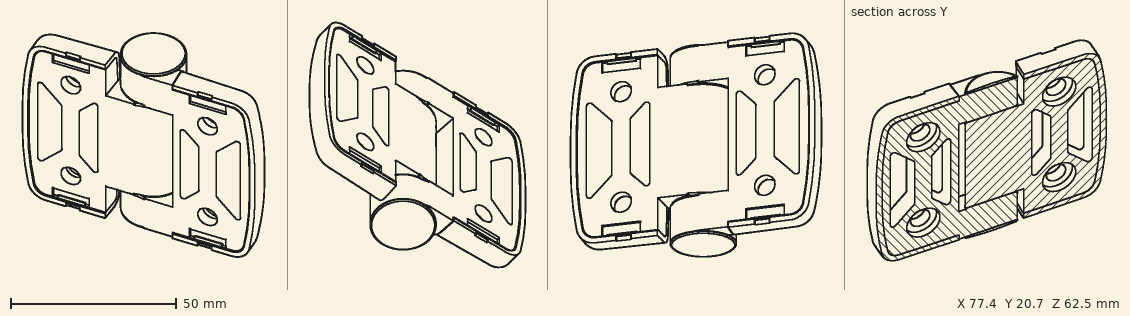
import cadquery as cq
import math


HALF_WIDTH = 38.71
HALF_HEIGHT = 30.4
BARREL_RADIUS = 10.0
COVER_BACK_Y = -10.74
LEAF_BACK_Y = -10.4

SIDE_STRAIGHT_HALF = 4.92
SIDE_RADIUS = 112.5
CORNER_RADIUS = 6.0

CROWN_RADIUS = 290.0
CROWN_Y = -0.3
CROWN_TILT = 1.6
EDGE_ROUND = 3.5
RIM_WIDTH = 1.8
LEAF_INSET = 2.05
COVER_THICKNESS = 1.6
LEAF_EDGE_ROUND = EDGE_ROUND - LEAF_INSET

END_X = 11.15
END_LEAN = 2.8

BARREL_HALF_HEIGHT = 30.1
JOINT_Z = 18.12
WEB_CLEARANCE = 0.12
KNUCKLE_CHAMFER = 0.55
WEB_RISE = 0.5
WEB_INSET = HALF_HEIGHT - BARREL_HALF_HEIGHT
WEB_FLAT_END_X = 1.79

CAP_STRAIGHT = 0.2
CAP_CHAMFER = 0.45
CAP_TOP_Z = 31.23

HOLE_X = 22.78
HOLE_Z = 18.0
HOLE_DIAMETER = 6.45
HOLE_DEPTH = 3.6
HEAD_BORE_DIAMETER = 11.0

POCKET_DEPTH = 6.6
POCKET_CORNER_HALF = 8.85
POCKET_TIP_ROUND = 1.0
POCKET_FLOOR_ROUND = 0.55
OUTER_POCKET_X = (25.7, 33.76)
INNER_POCKET_X = (19.9, 13.7)

CLIP_X = HOLE_X
WINDOW_WIDTH = 12.2
WINDOW_EDGE_Z = 24.9
WINDOW_DEPTH = 1.0
TOOTH_WIDTH = 9.1
TOOTH_REACH = 0.55
TOOTH_SLOPE = 0.3
NOTCH_X = 21.95
NOTCH_WIDTH = 4.7
NOTCH_LENGTH = 1.45
NOTCH_DEPTH = 0.6

ABOVE = 5.0
EDGE_MARGIN = 1.0
LEAF_HALF_HEIGHT = HALF_HEIGHT - LEAF_INSET


def with_mirror_copy(shape):
    """The shape together with its copy mirrored between top and bottom."""
    return shape.add(shape.mirror("XY"))


def back_plane(y):
    """Workplane at height y whose local x is X, local y is Z and whose extrusions run along +Y."""
    return cq.Workplane(cq.Plane(origin=(0, y, 0), xDir=(1, 0, 0), normal=(0, -1, 0)))


def box(x_range, y_range, z_range):
    sizes = [high - low for low, high in (x_range, y_range, z_range)]
    corner = (x_range[0], y_range[0], z_range[0])
    return cq.Workplane().box(*sizes, centered=False).translate(corner)


def outline(inset, y):
    """Side outline from the axis to the outer side, moved inwards by inset."""
    side_x = HALF_WIDTH - inset
    top_z = HALF_HEIGHT - inset
    side_radius = SIDE_RADIUS - inset
    corner_radius = CORNER_RADIUS - inset
    side_centre_x = side_x - side_radius
    corner_z = top_z - corner_radius
    rise = corner_z - SIDE_STRAIGHT_HALF
    corner_x = side_centre_x + math.sqrt((side_radius - corner_radius) ** 2 - rise ** 2)
    join_angle = math.atan2(rise, corner_x - side_centre_x)
    mid_corner_angle = (join_angle + math.pi / 2) / 2

    def side_point(angle):
        return (side_centre_x + side_radius * math.cos(angle),
                SIDE_STRAIGHT_HALF + side_radius * math.sin(angle))

    def corner_point(angle):
        return corner_x + corner_radius * math.cos(angle), corner_z + corner_radius * math.sin(angle)

    def below(point):
        return point[0], -point[1]

    mid_side = side_point(join_angle / 2)
    join = side_point(join_angle)
    mid_corner = corner_point(mid_corner_angle)
    return (
        back_plane(y)
        .moveTo(0, -top_z)
        .lineTo(corner_x, -top_z)
        .threePointArc(below(mid_corner), below(join))
        .threePointArc(below(mid_side), (side_x, -SIDE_STRAIGHT_HALF))
        .lineTo(side_x, SIDE_STRAIGHT_HALF)
        .threePointArc(mid_side, join)
        .threePointArc(mid_corner, (corner_x, top_z))
        .lineTo(0, top_z)
        .close()
    )


def crown(drop):
    """Large solid below the arched and tilted top surface, lowered by drop."""
    reach = 2 * HALF_WIDTH
    sag = CROWN_RADIUS - math.sqrt(CROWN_RADIUS ** 2 - reach ** 2)
    floor_y = 2 * COVER_BACK_Y
    return (
        cq.Workplane("YZ", origin=(-reach, 0, 0))
        .moveTo(floor_y, -reach)
        .lineTo(-sag, -reach)
        .threePointArc((0, 0), (-sag, reach))
        .lineTo(floor_y, reach)
        .close()
        .extrude(2 * reach)
        .rotate((0, 0, 0), (0, 0, 1), -CROWN_TILT)
        .translate((END_X, CROWN_Y - drop, 0))
    )


def end_space():
    """Everything on the barrel side of the leaning end face."""
    height = ABOVE - COVER_BACK_Y
    lean = height * math.tan(math.radians(END_LEAN))
    return (
        cq.Workplane("XY", origin=(0, 0, -HALF_HEIGHT))
        .polyline([
            (-END_X, COVER_BACK_Y), (END_X, COVER_BACK_Y), (END_X - lean, ABOVE), (-END_X, ABOVE),
        ])
        .close()
        .extrude(2 * HALF_HEIGHT)
    )


def rounded_form(inset, drop, edge_round, y):
    """Form from the axis to the outer side, bounded by the outline and the crown, top edges rounded."""
    form = outline(inset, y).extrude(y - ABOVE).intersect(crown(drop))
    top_edges = form.faces(">Y").edges().objects
    outer_edges = [edge for edge in top_edges if edge.BoundingBox().xmax > EDGE_MARGIN]
    return form.newObject(outer_edges).fillet(edge_round)


def shell_form(inset, drop, edge_round, y):
    """Rounded form that stops at the leaning end face."""
    return rounded_form(inset, drop, edge_round, y).cut(end_space())


def leaf_form():
    return shell_form(LEAF_INSET, COVER_THICKNESS, LEAF_EDGE_ROUND, LEAF_BACK_Y)


def pocket(near_x, far_x):
    """Trapezoid pocket, short side at near_x, long side at far_x, with 45 degree ends."""
    tip_half = POCKET_CORNER_HALF + abs(far_x - near_x)
    return (
        back_plane(LEAF_BACK_Y)
        .polyline([
            (near_x, -POCKET_CORNER_HALF), (far_x, -tip_half),
            (far_x, tip_half), (near_x, POCKET_CORNER_HALF),
        ])
        .close()
        .extrude(-POCKET_DEPTH)
        .edges("|Y")
        .fillet(POCKET_TIP_ROUND)
        .faces(">Y")
        .edges()
        .fillet(POCKET_FLOOR_ROUND)
    )


def screw_holes():
    head_seat_y = LEAF_BACK_Y + HOLE_DEPTH
    lower_hole = (
        back_plane(LEAF_BACK_Y)
        .center(HOLE_X, -HOLE_Z)
        .circle(HOLE_DIAMETER / 2)
        .extrude(-HOLE_DEPTH)
    )
    lower_bore = (
        back_plane(head_seat_y)
        .center(HOLE_X, -HOLE_Z)
        .circle(HEAD_BORE_DIAMETER / 2)
        .extrude(head_seat_y - ABOVE)
    )
    return with_mirror_copy(lower_hole.union(lower_bore))


def centred(middle, width):
    return middle - width / 2, middle + width / 2


def clip_window():
    return box(
        centred(CLIP_X, WINDOW_WIDTH),
        (LEAF_BACK_Y, LEAF_BACK_Y + WINDOW_DEPTH),
        (WINDOW_EDGE_Z, LEAF_HALF_HEIGHT),
    )


def clip_tooth():
    """Wedge-nosed tooth on the inside of the cover rim, resting in the clip window."""
    root_z = LEAF_HALF_HEIGHT
    nose_z = root_z - TOOTH_REACH
    top_y = LEAF_BACK_Y + WINDOW_DEPTH
    return (
        cq.Workplane("YZ", origin=(CLIP_X - TOOTH_WIDTH / 2, 0, 0))
        .polyline([
            (top_y, root_z), (top_y, nose_z), (top_y - TOOTH_SLOPE, nose_z), (LEAF_BACK_Y, root_z),
        ])
        .close()
        .extrude(TOOTH_WIDTH)
    )


def pry_notch():
    return box(
        centred(NOTCH_X, NOTCH_WIDTH),
        (COVER_BACK_Y, COVER_BACK_Y + NOTCH_DEPTH),
        (HALF_HEIGHT - NOTCH_LENGTH, HALF_HEIGHT),
    )


def barrel(low_z, high_z, chamfered):
    """Knuckle barrel with the sloping strip that leads to the flat back, chamfered where knuckles meet."""
    plane = cq.Workplane("XY", origin=(0, 0, low_z))
    strip = (
        plane.polyline([
            (0, 0), (0, -BARREL_RADIUS), (WEB_FLAT_END_X, LEAF_BACK_Y), (WEB_FLAT_END_X, 0),
        ])
        .close()
        .extrude(high_z - low_z)
    )
    body = plane.circle(BARREL_RADIUS).extrude(high_z - low_z).union(strip)
    for selector in chamfered:
        body = body.faces(selector).edges().chamfer(KNUCKLE_CHAMFER)
    return body


def web(low_z, high_z):
    """Bridge from the leaf to the barrel; it follows the cover shape, slightly raised."""
    return (
        rounded_form(WEB_INSET, -WEB_RISE, EDGE_ROUND, LEAF_BACK_Y)
        .intersect(end_space())
        .intersect(box((WEB_FLAT_END_X, END_X), (LEAF_BACK_Y, ABOVE), (low_z, high_z)))
    )


def leaf(knuckles):
    """Leaf on the +X side carrying the given knuckles."""
    body = leaf_form()
    for pocket_x in (OUTER_POCKET_X, INNER_POCKET_X):
        body = body.cut(pocket(*pocket_x))
    for opening in screw_holes().vals() + with_mirror_copy(clip_window()).vals():
        body = body.cut(cq.Workplane(opening))
    for part in knuckles:
        body = body.union(part)
    return body


def cover():
    """Cover on the +X side."""
    body = shell_form(0, 0, EDGE_ROUND, COVER_BACK_Y).cut(leaf_form())
    opening = outline(RIM_WIDTH, COVER_BACK_Y).extrude(COVER_BACK_Y - LEAF_BACK_Y)
    body = body.cut(opening)
    for tooth in with_mirror_copy(clip_tooth()).vals():
        body = body.union(cq.Workplane(tooth))
    for notch in with_mirror_copy(pry_notch()).vals():
        body = body.cut(cq.Workplane(notch))
    return body


def cap():
    """Domed disc on the top end of the barrel."""
    base_z = BARREL_HALF_HEIGHT
    shoulder_z = base_z + CAP_STRAIGHT
    dome_z = shoulder_z + CAP_CHAMFER
    dome_radius = BARREL_RADIUS - CAP_CHAMFER
    rise = CAP_TOP_Z - dome_z
    sphere_radius = (dome_radius ** 2 + rise ** 2) / (2 * rise)
    half_angle = math.asin(dome_radius / sphere_radius) / 2
    mid_dome = (
        sphere_radius * math.sin(half_angle),
        CAP_TOP_Z - sphere_radius * (1 - math.cos(half_angle)),
    )
    return (
        cq.Workplane("XZ")
        .moveTo(0, base_z)
        .lineTo(BARREL_RADIUS, base_z)
        .lineTo(BARREL_RADIUS, shoulder_z)
        .lineTo(dome_radius, dome_z)
        .threePointArc(mid_dome, (0, CAP_TOP_Z))
        .close()
        .revolve(360, (0, 0, 0), (0, 1, 0))
    )


web_inner_z = JOINT_Z - WEB_CLEARANCE
web_outer_z = JOINT_Z + WEB_CLEARANCE
middle_knuckle = barrel(-JOINT_Z, JOINT_Z, ("<Z", ">Z")).union(web(-web_inner_z, web_inner_z))
upper_knuckle = barrel(JOINT_Z, BARREL_HALF_HEIGHT, ("<Z",)).union(web(web_outer_z, BARREL_HALF_HEIGHT))
lower_knuckle = upper_knuckle.mirror("XY")

left_leaf = leaf([middle_knuckle]).mirror("YZ")
right_leaf = leaf([upper_knuckle, lower_knuckle])
right_cover = cover()
left_cover = right_cover.mirror("YZ")
caps = with_mirror_copy(cap())

result = cq.Compound.makeCompound([
    left_leaf.val(), right_leaf.val(), left_cover.val(), right_cover.val(), *caps.vals(),
])